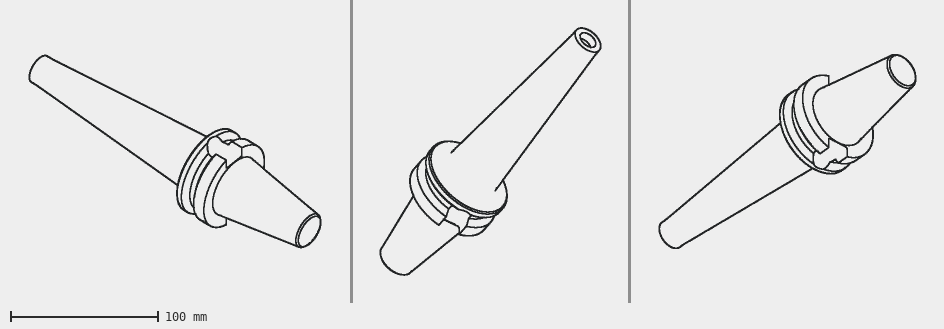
import cadquery as cq

total_length = 242.5

nose_radius = 10.5
nose_land_length = 4.8
body_end_radius = 39.5 / 2
bore_diameter = 12.5
bore_depth = 6.0

flange_radius = 63.0 / 2
flange_start_x = 149.8
flange_end_x = 174.8
front_rim_end_x = 155.5
rear_rim_start_x = 165.5
groove_floor_start_x = 158.0
groove_floor_end_x = 162.5
groove_radius = 26.7
rim_chamfer = 1.0

root_fillet = 5.8
body_end_x = flange_start_x - root_fillet

taper_start_radius = 22.3
taper_end_radius = 12.8
taper_chamfer = 1.2

slot_width = 16.2
slot_start_x = 153.5
slot_floor_height = 22.5
slot_floor_fillet = 1.2


def turned_body():
    """Revolve the outer profile about the X axis."""
    root_top_radius = body_end_radius + root_fillet
    arc_offset = root_fillet * 0.5 ** 0.5
    root_arc_middle = (
        body_end_x + arc_offset,
        root_top_radius - arc_offset,
    )
    profile = (
        cq.Workplane("XY")
        .lineTo(0, nose_radius)
        .lineTo(nose_land_length, nose_radius)
        .lineTo(body_end_x, body_end_radius)
        .threePointArc(root_arc_middle, (flange_start_x, root_top_radius))
        .lineTo(flange_start_x, flange_radius - rim_chamfer)
        .lineTo(flange_start_x + rim_chamfer, flange_radius)
        .lineTo(front_rim_end_x - rim_chamfer, flange_radius)
        .lineTo(front_rim_end_x, flange_radius - rim_chamfer)
        .lineTo(groove_floor_start_x, groove_radius)
        .lineTo(groove_floor_end_x, groove_radius)
        .lineTo(rear_rim_start_x, flange_radius)
        .lineTo(flange_end_x, flange_radius)
        .lineTo(flange_end_x, taper_start_radius)
        .lineTo(total_length - taper_chamfer, taper_end_radius)
        .lineTo(total_length, taper_end_radius - taper_chamfer)
        .lineTo(total_length, 0)
        .close()
    )
    return profile.revolve(360, (0, 0, 0), (1, 0, 0))


def nose_bore():
    return cq.Workplane("YZ").circle(bore_diameter / 2).extrude(bore_depth)


def drive_slot():
    """Cutter for the +Z slot: round front end, rounded floor edge, open at the rear."""
    slot_radius = slot_width / 2
    round_center_x = slot_start_x + slot_radius
    return (
        cq.Workplane("XY", origin=(0, 0, slot_floor_height))
        .moveTo(total_length, -slot_radius)
        .lineTo(round_center_x, -slot_radius)
        .threePointArc((slot_start_x, 0), (round_center_x, slot_radius))
        .lineTo(total_length, slot_radius)
        .close()
        .extrude(flange_radius)
        .faces("<Z")
        .edges("not >X")
        .fillet(slot_floor_fillet)
    )


result = turned_body().cut(nose_bore())
for slot_angle in (0, 180):
    result = result.cut(drive_slot().rotate((0, 0, 0), (1, 0, 0), slot_angle))